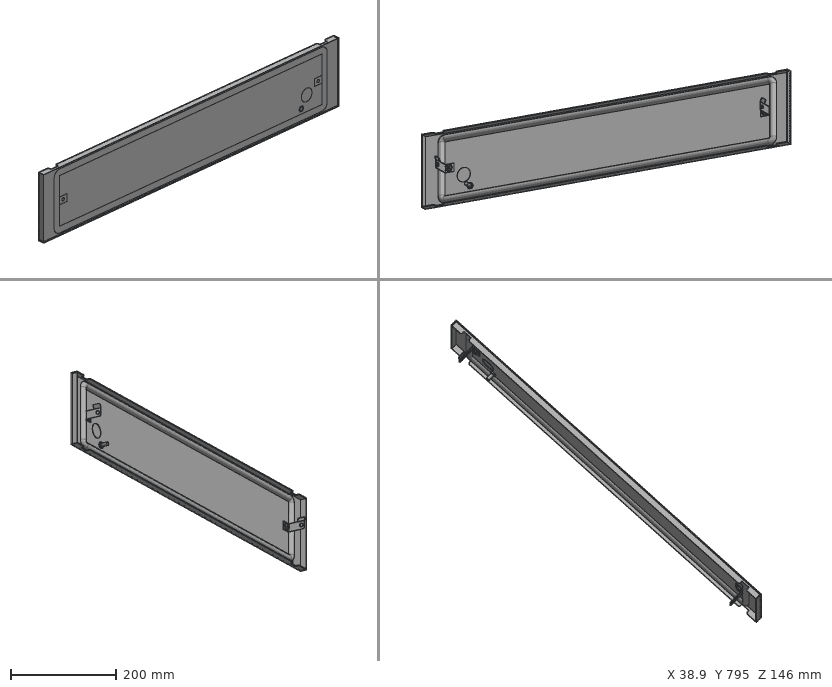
import cadquery as cq
import math

PANEL_LENGTH = 795.0
PANEL_HEIGHT = 146.0
SHEET = 1.9
FLANGE_RISE = 12.0
PANEL_DEPTH = SHEET + FLANGE_RISE

NOTCH_INSET = 26.0
NOTCH_LENGTH = 18.0
NOTCH_FLOOR = 6.0
NOTCH_CORNER = 2.0

BEAD_RADIUS = 7.0
BEAD_WIDTH = 2 * BEAD_RADIUS
BEAD_INNER_CORNER = 1.0
GASKET_LENGTH = 735.0
GASKET_HEIGHT = 137.0

ARM_REACH = 25.0
OVERALL_DEPTH = PANEL_DEPTH + ARM_REACH
BRACKET_SHEET = 1.5
BRACKET_OUTER_FACE = GASKET_LENGTH / 2 - BEAD_WIDTH
BRACKET_FOOT = 20.0
BRACKET_WIDTH = 17.0
ARM_CORNER = 2.0
ARM_HOLE_DIAMETER = 7.0
ARM_HOLE_INSET = 7.0
TAB_LENGTH = 16.0
TAB_HEIGHT = 9.0
TAB_TILT = 20.0

BOLT_ACROSS_FLATS = 13.0
BOLT_ACROSS_CORNERS = BOLT_ACROSS_FLATS / math.cos(math.pi / 6)
BOLT_HEAD_HEIGHT = 4.0
BOLT_CHAMFER = 30.0
BOLT_FACE_DIAMETER = 9.0
BOLT_SHANK_DIAMETER = 6.0
DIMPLE_DIAMETER = 4.0
DIMPLE_DEPTH = 1.5
BOLT_Y = BRACKET_OUTER_FACE - BRACKET_FOOT / 2

STUD_Y = 298.0
STUD_Z = -43.0
STUD_DIAMETER = 7.0
STUD_REACH = 18.0
NUT_ACROSS_FLATS = 11.0
NUT_ACROSS_CORNERS = NUT_ACROSS_FLATS / math.cos(math.pi / 6)
NUT_THICKNESS = 3.0
LABEL_Y = 312.5
LABEL_Z = -18.0
LABEL_DIAMETER = 29.0
LABEL_THICKNESS = 1.0


def block(x0, x1, y0, y1, z0, z1):
    """Box between two opposite corners."""
    return cq.Workplane("XY").box(x1 - x0, y1 - y0, z1 - z0, centered=False).translate((x0, y0, z0))


def rod(x0, x1, y, z, diameter):
    """Round bar along X."""
    return cq.Workplane("YZ", origin=(x0, y, z)).circle(diameter / 2).extrude(x1 - x0)


def make_panel():
    """Tray with a chamfer-mouthed notch through both long flanges near each end."""
    half_length = PANEL_LENGTH / 2
    half_height = PANEL_HEIGHT / 2
    tray = block(-PANEL_DEPTH, 0, -half_length, half_length, -half_height, half_height)
    tray = tray.faces("<X").shell(-SHEET)
    notch_end = half_length - NOTCH_INSET
    notch_start = notch_end - NOTCH_LENGTH
    for side in (-1, 1):
        notch = (
            cq.Workplane("XY", origin=(0, 0, -half_height))
            .moveTo(-NOTCH_FLOOR, side * notch_start)
            .lineTo(-NOTCH_FLOOR, side * notch_end)
            .lineTo(-PANEL_DEPTH + NOTCH_CORNER, side * notch_end)
            .lineTo(-PANEL_DEPTH, side * (notch_end + NOTCH_CORNER))
            .lineTo(-PANEL_DEPTH, side * (notch_start - NOTCH_CORNER))
            .lineTo(-PANEL_DEPTH + NOTCH_CORNER, side * notch_start)
            .close()
            .extrude(PANEL_HEIGHT)
        )
        tray = tray.cut(notch)
    return tray


def make_gasket():
    """Half-round profile swept along the centre line of the ring."""
    centre_y = GASKET_LENGTH / 2 - BEAD_RADIUS
    outline = (
        cq.Workplane("YZ", origin=(-SHEET, 0, 0))
        .rect(GASKET_LENGTH - BEAD_WIDTH, GASKET_HEIGHT - BEAD_WIDTH)
        .extrude(SHEET)
        .edges("|X")
        .fillet(BEAD_RADIUS + BEAD_INNER_CORNER)
    )
    path = cq.Workplane(outline.faces("<X").wires().val())
    bead = (
        cq.Workplane("XY", origin=(-SHEET, centre_y, 0))
        .moveTo(0, -BEAD_RADIUS)
        .threePointArc((-BEAD_RADIUS, 0), (0, BEAD_RADIUS))
        .close()
    )
    return bead.sweep(path, transition="right")


def make_bracket(side):
    """Bracket for one end; built at the +Y end and mirrored for the other."""
    z0 = -BRACKET_WIDTH / 2
    z1 = BRACKET_WIDTH / 2
    y_out = BRACKET_OUTER_FACE
    y_in = y_out - BRACKET_SHEET
    foot_top = -SHEET - BRACKET_SHEET
    foot = block(foot_top, -SHEET, y_out - BRACKET_FOOT, y_out, z0, z1)
    arm = block(-OVERALL_DEPTH, -SHEET, y_in, y_out, z0, z1)
    arm = arm.edges("|Y and <X").edges("<Z").chamfer(ARM_CORNER)
    tab = block(-OVERALL_DEPTH, -OVERALL_DEPTH + TAB_LENGTH, y_in, y_out, z1, z1 + TAB_HEIGHT)
    tab = tab.edges("|Y and <X").edges(">Z").chamfer(ARM_CORNER)
    tab = tab.rotate((0, y_in, z1), (1, y_in, z1), -TAB_TILT)
    arm_hole = cq.Workplane("XZ", origin=(-OVERALL_DEPTH + ARM_HOLE_INSET, y_out, 0))
    arm_hole = arm_hole.circle(ARM_HOLE_DIAMETER / 2).extrude(BRACKET_SHEET)
    foot_hole = rod(foot_top, -SHEET, BOLT_Y, 0, BOLT_SHANK_DIAMETER)
    bracket = foot.union(arm).union(tab).cut(arm_hole).cut(foot_hole)
    return bracket if side > 0 else bracket.mirror("XZ")


def make_bolt(side):
    """Hex head trimmed by a cone, with a shank that fills the hole in the foot."""
    seat = -SHEET - BRACKET_SHEET
    top = seat - BOLT_HEAD_HEIGHT
    y = side * BOLT_Y
    head = cq.Workplane("YZ", origin=(top, y, 0)).polygon(6, BOLT_ACROSS_CORNERS).extrude(BOLT_HEAD_HEIGHT)
    face_radius = BOLT_FACE_DIAMETER / 2
    base_radius = face_radius + BOLT_HEAD_HEIGHT / math.tan(math.radians(BOLT_CHAMFER))
    cone = (
        cq.Workplane("XY", origin=(0, y, 0))
        .moveTo(top, 0)
        .lineTo(top, face_radius)
        .lineTo(seat, base_radius)
        .lineTo(seat, 0)
        .close()
        .revolve(360, (0, 0, 0), (1, 0, 0))
    )
    shank = rod(seat, -SHEET, y, 0, BOLT_SHANK_DIAMETER)
    dimple = rod(top, top + DIMPLE_DEPTH, y, 0, DIMPLE_DIAMETER)
    return head.intersect(cone).union(shank).cut(dimple)


def make_stud():
    return rod(-STUD_REACH, -SHEET, STUD_Y, STUD_Z, STUD_DIAMETER)


def make_nut():
    return (
        cq.Workplane("YZ", origin=(-SHEET, STUD_Y, STUD_Z))
        .polygon(6, NUT_ACROSS_CORNERS)
        .circle(STUD_DIAMETER / 2)
        .extrude(-NUT_THICKNESS)
    )


def make_label():
    return rod(-SHEET - LABEL_THICKNESS, -SHEET, LABEL_Y, LABEL_Z, LABEL_DIAMETER)


panel = make_panel()
gasket = make_gasket()
brackets = [make_bracket(side) for side in (-1, 1)]
bolts = [make_bolt(side) for side in (-1, 1)]
stud = make_stud()
nut = make_nut()
label = make_label()

result = cq.Compound.makeCompound(
    [panel.val(), gasket.val()]
    + [bracket.val() for bracket in brackets]
    + [bolt.val() for bolt in bolts]
    + [stud.val(), nut.val(), label.val()]
)